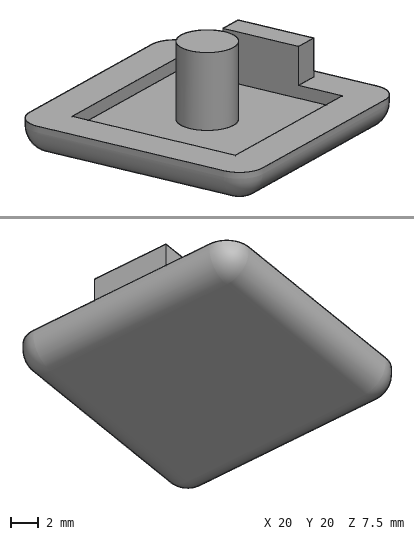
import cadquery as cq

plate_side = 20
plate_thickness = 2.5
edge_radius = 2

pocket_side = 14
pocket_depth = 1

pin_diameter = 4.5
pin_height_above_plate = 5

tab_width = 6.5
tab_thickness = 2
tab_height = 3

pocket_floor = plate_thickness - pocket_depth


def make_plate():
    block = cq.Workplane("XY").box(
        plate_side, plate_side, plate_thickness, centered=(True, True, False)
    )
    return block.edges("|Z").fillet(edge_radius).faces("<Z").edges().fillet(edge_radius)


def make_pocket():
    return (
        cq.Workplane("XY")
        .workplane(offset=pocket_floor)
        .rect(pocket_side, pocket_side)
        .extrude(pocket_depth)
    )


def make_pin():
    return (
        cq.Workplane("XY")
        .workplane(offset=pocket_floor)
        .circle(pin_diameter / 2)
        .extrude(pocket_depth + pin_height_above_plate)
    )


def make_tab():
    tab_center_y = (pocket_side + tab_thickness) / 2
    return (
        cq.Workplane("XY")
        .workplane(offset=plate_thickness)
        .center(0, tab_center_y)
        .rect(tab_width, tab_thickness)
        .extrude(tab_height)
    )


result = make_plate().cut(make_pocket()).union(make_pin()).union(make_tab())